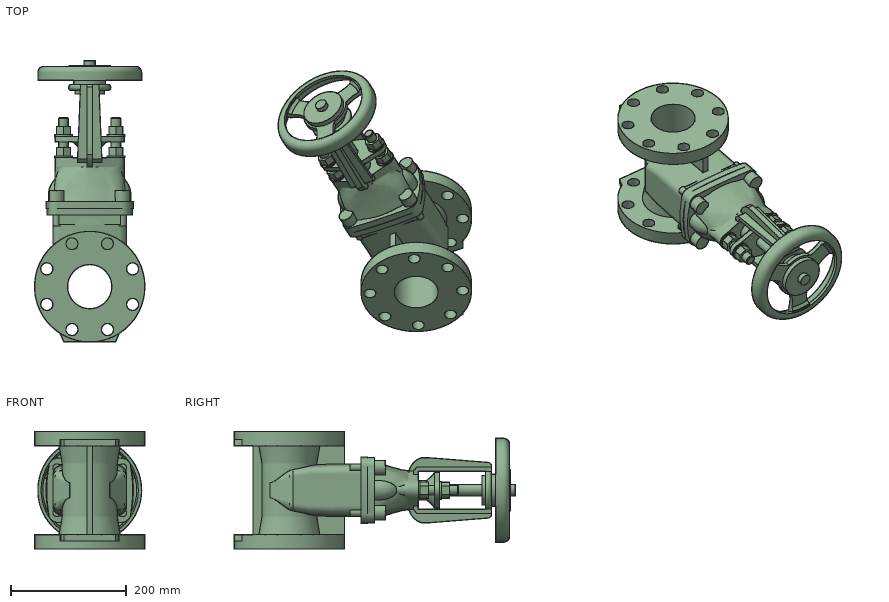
import cadquery as cq
import math


overall_length = 485.5

face_to_face = 203.0
flange_radius = 191.0 / 2
flange_thickness = 25.0
bore_radius = 38.0
pipe_radius = 47.5
cone_radius = 53.0
cone_start = 46.0
hole_count = 8
hole_radius = 10.0
hole_circle_radius = 80.0
flange_inner = face_to_face / 2 - flange_thickness

foot_height = 10.5
foot_top = -81.5
foot_half_bottom = 44.5
foot_half_top = 51.0
web_thickness = 10.0
web_bottom = -63.0

body_flange_bottom = 123.5
flange_joint = 134.5
bonnet_flange_top = 147.0
neck_bottom = 206.5
neck_top = 223.0
gland_plate_bottom = 250.0
gland_plate_top = 259.3
yoke_top = 349.0
stem_top = overall_length - flange_radius

housing_sections = [
    (body_flange_bottom, 63.5, 42.0, 14.5, 2.0),
    (107.0, 63.5, 42.0, 14.5, 3.5),
    (77.5, 63.5, 42.0, 14.5, 3.5),
    (37.0, 63.5, 40.5, 12.5, 3.5),
    (6.5, 63.5, 35.5, 12.5, 2.5),
    (0.0, 60.0, 34.0, 12.5, 2.5),
    (-33.0, 35.0, 13.0, 1.5, 0.5),
]
collar_half_width = 61.5
collar_half_height = 44.5
collar_corner = 5.0
collar_length = 16.5

joint_half_width = 71.0
joint_half_height = 55.5
joint_corner = 15.5
joint_side_bulge = 5.0
joint_face_bulge = 1.5
body_flange_lip = 1.0
bonnet_flange_lip = 1.5
joint_bolt_x = 57.0
joint_bolt_z = 39.0
bolt_head_radius = 25.5 / 2
bolt_head_height = 18.5
bolt_shank_radius = 7.0
bolt_shank_length = 18.5

neck_radius = 33.5
neck_end_radius = 14.5
stud_x = 45.0
bonnet_base_half_width = 60.0
bonnet_base_half_height = 44.5
bonnet_corner = 29.0
bonnet_face_bulge = 5.0
bonnet_waist = 179.5
bonnet_waist_half_height = 34.5
side_boss_x = 53.0
side_boss_radius = 18.5
side_boss_shoulder = 155.5
side_boss_tip = 191.0

stud_radius = 17.0 / 2
stud_top = 292.0
nut_circumradius = 14.0
nut_height = 14.5
washer_radius = 15.5
washer_thickness = 3.0
gland_radius = 31.0
gland_tube_radius = 17.0
gland_cove_height = 13.0
gland_rim = 1.0
stud_chamfer = 1.5

arm_inner = 65.5 / 2
arm_flange_outer = 40.5
arm_half_width_top = 16.0
arm_half_width_bottom = 21.5
arm_rib_thickness = 10.0
yoke_ring_radius = 36.5
yoke_ring_bottom = 338.5
yoke_ring_rounding = 5.0
yoke_lower_ring_radius = 25.5
yoke_lower_ring_bottom = 332.0

stem_radius = 20.0 / 2
wheel_radius = 90.0
wheel_bottom = 356.0
wheel_top = 380.0
wheel_wall = 6.0
wheel_hub_radius = 27.5
wheel_hub_bottom = yoke_top
wheel_disc_radius = 36.0
wheel_boss_radius = 40.0
wheel_disc_top = 381.5
spoke_bottom = 365.0
spoke_top = 373.0
spoke_rise = 5.0
spoke_angles = (30, 150, 270)


def plane_at(y):
    """Workplane across the stem axis: local x is X, local y is Z."""
    return cq.Workplane("XZ", origin=(0, y, 0))


def cylinder(radius, y_low, y_high, x=0.0, z=0.0):
    """Cylinder parallel to the stem axis."""
    return plane_at(y_low).center(x, z).circle(radius).extrude(y_low - y_high)


def bulged_rectangle(y, half_width, half_height, corner, side_bulge, face_bulge):
    """Closed wire: a rectangle with bowed sides and round corners."""
    x_flat = half_width - corner
    z_flat = half_height - corner
    reach = corner * math.sqrt(0.5)
    wire = plane_at(y).moveTo(-x_flat, half_height)
    for sx, sz in ((1, 1), (1, -1), (-1, -1), (-1, 1)):
        along_face = sx == sz
        corner_middle = (sx * (x_flat + reach), sz * (z_flat + reach))
        on_face = (sx * x_flat, sz * half_height)
        on_side = (sx * half_width, sz * z_flat)
        if along_face:
            wire = wire.threePointArc((0, sz * (half_height + face_bulge)), on_face)
            wire = wire.threePointArc(corner_middle, on_side)
        else:
            if side_bulge > 0:
                wire = wire.threePointArc((sx * (half_width + side_bulge), 0), on_side)
            else:
                wire = wire.lineTo(*on_side)
            wire = wire.threePointArc(corner_middle, on_face)
    return wire.close().wires().val()


def lozenge(y, middle_radius):
    """Closed wire: a middle circle and two end circles joined by tangent lines."""
    tilt = math.asin((middle_radius - neck_end_radius) / stud_x)
    mid_x = middle_radius * math.sin(tilt)
    mid_z = middle_radius * math.cos(tilt)
    end_x = stud_x + neck_end_radius * math.sin(tilt)
    end_z = neck_end_radius * math.cos(tilt)
    tip_x = stud_x + neck_end_radius
    return (
        plane_at(y)
        .moveTo(-mid_x, mid_z)
        .threePointArc((0, middle_radius), (mid_x, mid_z))
        .lineTo(end_x, end_z)
        .threePointArc((tip_x, 0), (end_x, -end_z))
        .lineTo(mid_x, -mid_z)
        .threePointArc((0, -middle_radius), (-mid_x, -mid_z))
        .lineTo(-end_x, -end_z)
        .threePointArc((-tip_x, 0), (-end_x, end_z))
        .close()
        .wires()
        .val()
    )


def prism(wire, height):
    """Extrude a wire that lies across the stem axis towards +Y."""
    return cq.Workplane(cq.Solid.extrudeLinear(wire, [], cq.Vector(0, height, 0)))


def loft(wires, ruled):
    return cq.Workplane(cq.Solid.makeLoft(wires, ruled))


def both_ends(shape):
    """The shape together with its mirror image below the XY plane."""
    return shape.union(shape.mirror("XY"))


def pipe():
    half_length = face_to_face / 2
    tube = (
        cq.Workplane("XZ")
        .polyline([
            (0, 0), (pipe_radius, 0), (pipe_radius, cone_start), (cone_radius, flange_inner),
            (flange_radius, flange_inner), (flange_radius, half_length), (0, half_length),
        ])
        .close()
        .revolve(360, (0, 0), (0, 1))
    )
    foot = (
        cq.Workplane("XY", origin=(0, 0, flange_inner))
        .polyline([
            (-foot_half_bottom, -flange_radius), (foot_half_bottom, -flange_radius),
            (foot_half_top, foot_top), (-foot_half_top, foot_top),
        ])
        .close()
        .extrude(foot_height)
    )
    web_length = flange_radius - web_bottom
    web = cq.Workplane("XY").box(web_thickness, web_length, 2 * flange_inner)
    web = web.translate((0, web_bottom + web_length / 2, 0))
    return both_ends(tube.union(foot)).union(web)


def flow_passages():
    """Main bore and the bolt holes of both end flanges."""
    bore = cq.Workplane("XY").circle(bore_radius).extrude(face_to_face / 2, both=True)
    holes = (
        cq.Workplane("XY", origin=(0, 0, flange_inner))
        .polarArray(hole_circle_radius, 180 / hole_count, 360, hole_count)
        .circle(hole_radius)
        .extrude(flange_thickness)
    )
    return bore.union(both_ends(holes))


def wedge_housing():
    wires = [
        bulged_rectangle(y, half_width, half_height, corner, 0, bulge)
        for y, half_width, half_height, corner, bulge in housing_sections
    ]
    collar = (
        plane_at(body_flange_bottom)
        .rect(2 * collar_half_width, 2 * collar_half_height)
        .extrude(collar_length)
        .edges("|Y")
        .fillet(collar_corner)
    )
    return loft(wires, ruled=True).union(collar)


def bonnet_joint():
    """Body flange, bonnet flange and the four bolts that join them."""
    joint = prism(
        bulged_rectangle(body_flange_bottom, joint_half_width, joint_half_height, joint_corner,
                         joint_side_bulge - bonnet_flange_lip, joint_face_bulge + body_flange_lip),
        flange_joint - body_flange_bottom,
    )
    joint = joint.union(prism(
        bulged_rectangle(flange_joint, joint_half_width, joint_half_height, joint_corner,
                         joint_side_bulge, joint_face_bulge),
        bonnet_flange_top - flange_joint,
    ))
    for x in (-joint_bolt_x, joint_bolt_x):
        for z in (-joint_bolt_z, joint_bolt_z):
            head_top = bonnet_flange_top + bolt_head_height
            shank_end = body_flange_bottom - bolt_shank_length
            joint = joint.union(cylinder(bolt_head_radius, bonnet_flange_top, head_top, x, z))
            joint = joint.union(cylinder(bolt_shank_radius, shank_end, body_flange_bottom, x, z))
    return joint


def side_boss(x):
    """Bullet-shaped boss on a narrow side of the bonnet."""
    side_middle = (13.5, 176.5)
    return (
        cq.Workplane("XY", origin=(x, 0, 0))
        .moveTo(0, flange_joint)
        .lineTo(side_boss_radius, flange_joint)
        .lineTo(side_boss_radius, side_boss_shoulder)
        .threePointArc(side_middle, (0, side_boss_tip))
        .close()
        .revolve(360, (0, 0), (0, 1))
    )


def bonnet():
    base = bulged_rectangle(bonnet_flange_top, bonnet_base_half_width, bonnet_base_half_height,
                            bonnet_corner, 0, bonnet_face_bulge)
    waist = bulged_rectangle(bonnet_waist, bonnet_base_half_width, bonnet_waist_half_height,
                             bonnet_corner, 0, bonnet_face_bulge)
    flare = loft([base, waist, lozenge(neck_bottom, neck_radius)], ruled=False)
    neck = prism(lozenge(neck_bottom, neck_radius), neck_top - neck_bottom)
    return flare.union(neck).union(side_boss(-side_boss_x)).union(side_boss(side_boss_x))


def nut_on_washer(x, y):
    """Washer resting at height y with a hexagon nut on it, corners towards Z."""
    washer = cylinder(washer_radius, y, y + washer_thickness, x)
    nut = (
        plane_at(y + washer_thickness)
        .center(x, 0)
        .transformed(rotate=(0, 0, 90))
        .polygon(6, 2 * nut_circumradius)
        .extrude(-nut_height)
    )
    return washer.union(nut)


def gland():
    """Gland follower, its two studs and their nuts."""
    gland_plate_middle = (gland_plate_bottom + gland_plate_top) / 2
    cove_bottom = gland_plate_bottom - gland_cove_height
    cove_rim = gland_radius - gland_rim
    cove_middle = (23.0, 243.5)
    follower = prism(lozenge(gland_plate_bottom, gland_radius), gland_plate_top - gland_plate_bottom)
    tube = (
        cq.Workplane("XY")
        .moveTo(0, neck_top)
        .lineTo(gland_tube_radius, neck_top)
        .lineTo(gland_tube_radius, cove_bottom)
        .threePointArc(cove_middle, (cove_rim, gland_plate_bottom))
        .lineTo(cove_rim, gland_plate_middle)
        .lineTo(0, gland_plate_middle)
        .close()
        .revolve(360, (0, 0), (0, 1))
    )
    assembly = follower.union(tube)
    for x in (-stud_x, stud_x):
        stud = cylinder(stud_radius, neck_top, stud_top, x).faces(">Y").chamfer(stud_chamfer)
        assembly = assembly.union(stud)
        assembly = assembly.union(nut_on_washer(x, neck_top))
        assembly = assembly.union(nut_on_washer(x, gland_plate_top))
    return assembly


def yoke_arm():
    """Upper arm: a tapered flange with an outer rib along its middle."""
    foot_top_edge = 220.5
    foot_bottom = 214.0
    foot_depth = 24.5
    rib_end_height, rib_shoulder_height, rib_full_height = 43.5, 48.0, 56.5
    rib_shoulder, rib_full_start, rib_full_end = 344.5, 240.5, 228.0
    rib_bend_middle = (216.5, 50.0)
    flange_side = (
        cq.Workplane("YZ")
        .polyline([
            (yoke_top, arm_inner), (yoke_top, arm_flange_outer), (foot_top_edge, arm_flange_outer),
            (foot_bottom, neck_radius), (foot_bottom, foot_depth), (neck_top, foot_depth),
            (neck_top, arm_inner),
        ])
        .close()
        .extrude(arm_half_width_bottom, both=True)
    )
    flange_outline = (
        cq.Workplane("XY")
        .polyline([
            (-arm_half_width_top, yoke_top), (arm_half_width_top, yoke_top),
            (arm_half_width_bottom, foot_bottom), (-arm_half_width_bottom, foot_bottom),
        ])
        .close()
        .extrude(arm_flange_outer)
    )
    rib = (
        cq.Workplane("YZ")
        .moveTo(yoke_top, arm_inner)
        .lineTo(yoke_top, rib_end_height)
        .lineTo(rib_shoulder, rib_shoulder_height)
        .lineTo(rib_full_start, rib_full_height)
        .lineTo(rib_full_end, rib_full_height)
        .threePointArc(rib_bend_middle, (neck_bottom, neck_radius))
        .lineTo(neck_bottom, foot_depth)
        .lineTo(neck_top, foot_depth)
        .lineTo(neck_top, arm_inner)
        .close()
        .extrude(arm_rib_thickness / 2, both=True)
    )
    return flange_side.intersect(flange_outline).union(rib)


def yoke():
    ring = cylinder(yoke_ring_radius, yoke_ring_bottom, yoke_top).edges().fillet(yoke_ring_rounding)
    lower_ring = cylinder(yoke_lower_ring_radius, yoke_lower_ring_bottom, yoke_ring_bottom)
    return both_ends(yoke_arm()).union(ring).union(lower_ring)


def spoke(angle):
    """Waisted spoke that widens towards both ends and bends up into the crown of the rim."""
    hub_end, waist, rim_end = 24.5, 53.5, 80.5
    bend = 71.0
    hub_half, waist_half, rim_half = 22.5, 15.0, 23.5
    outline = (
        plane_at(spoke_bottom)
        .moveTo(hub_end, -hub_half)
        .threePointArc((waist, -waist_half), (rim_end, -rim_half))
        .lineTo(rim_end, rim_half)
        .threePointArc((waist, waist_half), (hub_end, hub_half))
        .close()
        .extrude(spoke_bottom - spoke_top - spoke_rise)
    )
    dish = (
        cq.Workplane("XY")
        .polyline([
            (0, spoke_bottom), (bend, spoke_bottom), (rim_end, spoke_top), (rim_end, spoke_top + spoke_rise),
            (bend, spoke_top + spoke_rise), (bend - spoke_rise, spoke_top), (0, spoke_top),
        ])
        .close()
        .revolve(360, (0, 0), (0, 1))
    )
    return outline.intersect(dish).rotate((0, 0, 0), (0, 1, 0), -angle)


def handwheel():
    shoulder = 369.0
    shoulder_middle = (87.5, 376.5)
    crown_outer = 81.0
    crown_inner = 74.0
    inner_radius = wheel_radius - wheel_wall
    inner_top = wheel_top - wheel_wall
    rim = (
        cq.Workplane("XY")
        .moveTo(inner_radius, wheel_bottom)
        .lineTo(wheel_radius, wheel_bottom)
        .lineTo(wheel_radius, shoulder)
        .threePointArc(shoulder_middle, (crown_outer, wheel_top))
        .lineTo(crown_inner, wheel_top)
        .lineTo(crown_inner, inner_top)
        .lineTo(crown_outer, inner_top)
        .lineTo(inner_radius, shoulder)
        .close()
        .revolve(360, (0, 0), (0, 1))
    )
    wheel = rim.union(cylinder(wheel_hub_radius, wheel_hub_bottom, wheel_disc_top))
    wheel = wheel.union(cylinder(wheel_disc_radius, spoke_top, wheel_disc_top))
    wheel = wheel.union(cylinder(wheel_boss_radius, spoke_bottom, spoke_top))
    for angle in spoke_angles:
        wheel = wheel.union(spoke(angle))
    return wheel


stem = cylinder(stem_radius, neck_top, stem_top)

result = (
    pipe()
    .union(wedge_housing())
    .union(bonnet_joint())
    .union(bonnet())
    .union(gland())
    .union(yoke())
    .union(stem)
    .union(handwheel())
    .cut(flow_passages())
)